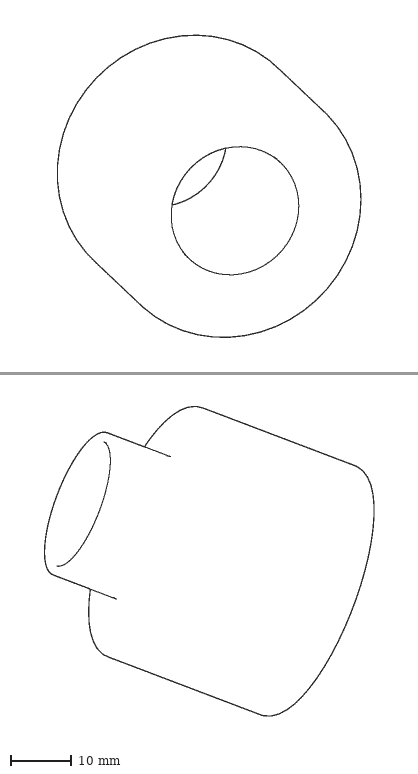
import cadquery as cq

overall_length = 44.45
body_diameter = 44.45
neck_diameter = 25.4
bore_diameter = 22.1
neck_length = 12.7
body_edge_radius = 1.6
neck_root_radius = 0.8
neck_lip_radius = 0.127

body_length = overall_length - neck_length


def cylinder_along_x(start_x, length, diameter):
    """Solid cylinder on the X axis, growing toward +X from start_x."""
    return cq.Workplane("YZ", origin=(start_x, 0, 0)).circle(diameter / 2).extrude(length)


def make_body():
    """Large cylinder with both outer rims rounded."""
    body = cylinder_along_x(neck_length, body_length, body_diameter)
    return body.edges("%CIRCLE").fillet(body_edge_radius)


def add_neck(body):
    """Thin tube stub at the -X end, blended into the shoulder of the body."""
    part = body.union(cylinder_along_x(0, neck_length, neck_diameter))
    shoulder_radius = (neck_diameter + body_diameter) / 4
    on_shoulder = cq.selectors.NearestToPointSelector((neck_length, 0, shoulder_radius))
    smallest_circle = cq.selectors.RadiusNthSelector(0)
    return part.faces(on_shoulder).edges(smallest_circle).fillet(neck_root_radius)


def cut_bore(part):
    """Straight through bore with both edges of the neck mouth eased."""
    bored = part.cut(cylinder_along_x(0, overall_length, bore_diameter))
    return bored.faces("<X").edges().fillet(neck_lip_radius)


result = cut_bore(add_neck(make_body()))